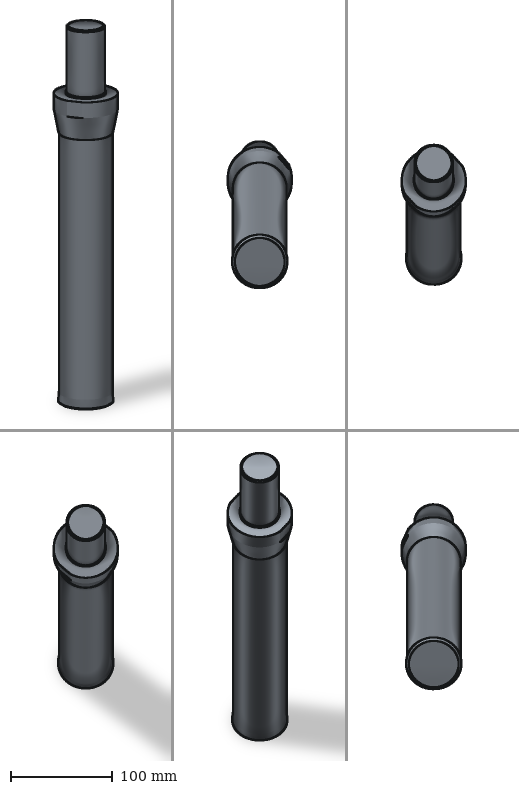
import cadquery as cq

TOTAL_HEIGHT = 387.0
COLLAR_TOP = 317.2
COLLAR_HEIGHT = 16.2
CONE_HEIGHT = 23.0
CONE_BEVEL_HEIGHT = 1.0
FOOT_HEIGHT = 10.5
FOOT_CHAMFER_HEIGHT = 2.0
LIP_HEIGHT = 1.5

COLLAR_DIAMETER = 63.0
TUBE_DIAMETER = 53.0
CONE_END_DIAMETER = 54.0
FOOT_DIAMETER = 54.5
BOTTOM_DIAMETER = 48.7
ROD_DIAMETER = 38.0
LIP_DIAMETER = 39.5

ROD_CHAMFER = 1.5

ACROSS_FLATS = 61.0

COLLAR_BOTTOM = COLLAR_TOP - COLLAR_HEIGHT
CONE_BOTTOM = COLLAR_BOTTOM - CONE_HEIGHT
ROD_LENGTH = TOTAL_HEIGHT - CONE_BOTTOM


def make_flat_cutters():
    """Blocks that cut the two opposite wrench flats over the collar height only."""
    cutter_depth = COLLAR_DIAMETER - ACROSS_FLATS
    cutter_offset = (ACROSS_FLATS + cutter_depth) / 2
    return (
        cq.Workplane("XY")
        .workplane(offset=COLLAR_BOTTOM)
        .pushPoints([(0, -cutter_offset), (0, cutter_offset)])
        .rect(COLLAR_DIAMETER, cutter_depth)
        .extrude(COLLAR_HEIGHT)
    )


def make_housing():
    """Tube with a flared foot, a conical shoulder, a collar and a blind rod bore."""
    body = (
        cq.Workplane("XZ")
        .moveTo(0, 0)
        .lineTo(BOTTOM_DIAMETER / 2, 0)
        .lineTo(FOOT_DIAMETER / 2, FOOT_CHAMFER_HEIGHT)
        .lineTo(TUBE_DIAMETER / 2, FOOT_HEIGHT)
        .lineTo(TUBE_DIAMETER / 2, CONE_BOTTOM - CONE_BEVEL_HEIGHT)
        .lineTo(CONE_END_DIAMETER / 2, CONE_BOTTOM)
        .lineTo(COLLAR_DIAMETER / 2, COLLAR_BOTTOM)
        .lineTo(COLLAR_DIAMETER / 2, COLLAR_TOP)
        .lineTo(LIP_DIAMETER / 2, COLLAR_TOP)
        .lineTo(LIP_DIAMETER / 2, COLLAR_TOP + LIP_HEIGHT)
        .lineTo(0, COLLAR_TOP + LIP_HEIGHT)
        .close()
        .revolve(360, (0, 0, 0), (0, 1, 0))
    )
    bore = cq.Workplane("XY").workplane(offset=CONE_BOTTOM).circle(ROD_DIAMETER / 2).extrude(ROD_LENGTH)
    return body.cut(bore).cut(make_flat_cutters())


def make_rod():
    """Plain round rod with a chamfered free end."""
    rod = cq.Workplane("XY").workplane(offset=CONE_BOTTOM).circle(ROD_DIAMETER / 2).extrude(ROD_LENGTH)
    return rod.faces(">Z").chamfer(ROD_CHAMFER)


housing = make_housing()
rod = make_rod()

result = cq.Compound.makeCompound([housing.val(), rod.val()])